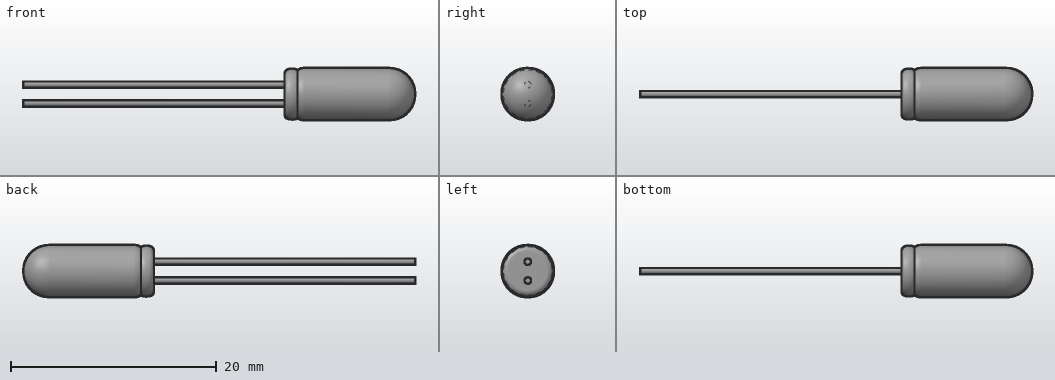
import cadquery as cq
import math

can_diameter = 5.13
can_radius = can_diameter / 2
can_length = 12.75
dome_start = can_length - can_radius

base_face_radius = 1.915
base_rounding = 0.55
band_start = 0.38
groove_position = 1.3
groove_radius = 2.36
shoulder_length = 0.65
shoulder_end = groove_position + shoulder_length

lead_diameter = 0.64
lead_length = 25.4
lead_spacing = 1.83


def shoulder_arc_midpoint():
    """Middle of the convex arc that leaves the groove and runs tangent into the can wall."""
    rise = can_radius - groove_radius
    arc_radius = (shoulder_length**2 + rise**2) / (2 * rise)
    half_angle = math.asin(shoulder_length / arc_radius) / 2
    x = shoulder_end - arc_radius * math.sin(half_angle)
    r = can_radius - arc_radius * (1 - math.cos(half_angle))
    return (x, r)


def rim_radius_at(x):
    """Radius of the rounded rim at a distance x from the base face."""
    return base_face_radius + math.sqrt(base_rounding**2 - (base_rounding - x) ** 2)


def make_can():
    """Revolve the half outline of the can around the X axis."""
    diagonal = math.sqrt(0.5)
    rim_middle = band_start / 2
    outline = (
        cq.Workplane("XY")
        .moveTo(0, 0)
        .lineTo(0, base_face_radius)
        .threePointArc((rim_middle, rim_radius_at(rim_middle)), (band_start, rim_radius_at(band_start)))
        .tangentArcPoint((groove_position, groove_radius), relative=False)
        .threePointArc(shoulder_arc_midpoint(), (shoulder_end, can_radius))
        .lineTo(dome_start, can_radius)
        .threePointArc(
            (dome_start + can_radius * diagonal, can_radius * diagonal),
            (can_length, 0),
        )
        .close()
    )
    return outline.revolve(360, (0, 0, 0), (1, 0, 0))


def make_leads():
    """Both wires, running from the base face of the can."""
    half_spacing = lead_spacing / 2
    return (
        cq.Workplane("YZ")
        .pushPoints([(0, -half_spacing), (0, half_spacing)])
        .circle(lead_diameter / 2)
        .extrude(-lead_length)
    )


result = make_can().union(make_leads())